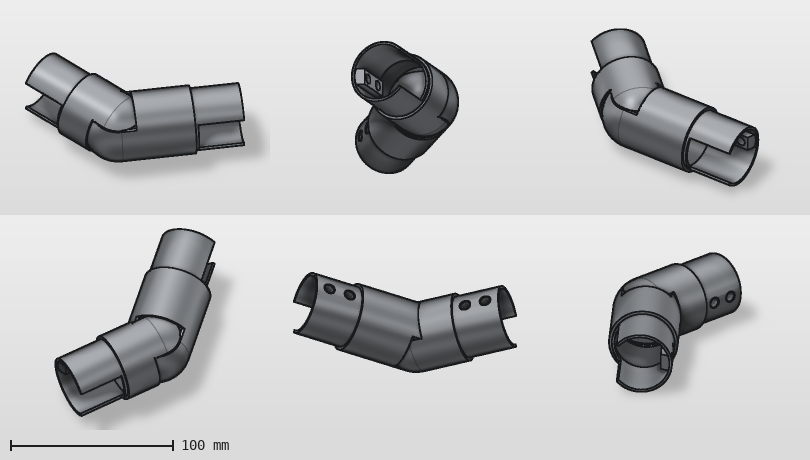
import cadquery as cq
import math


collar_radius = 21.2
collar_bore_radius = 19.9
spigot_radius = 19.3
spigot_bore_radius = 17.7
oversize = 3 * collar_radius

bend_angle = 45.0
near_shoulder = 30.1
far_shoulder = 46.1
near_tip = 60.0
far_tip = 76.5
step_length = 2.0

near_collar_start = 8.7
far_collar_start = 9.7
band_half_height = 14.5
tongue_floor = 15.1

slot_half_angle = 40.0
slot_to_shoulder = 1.9

block_width = 10.0
block_flat = 12.2
block_end_gap = 1.0
block_slope_run = 2.5
hole_diameter = 6.0
wall_hole_diameter = 7.0
wall_hole_start = 18.7
hole_end_distance = 8.5
near_hole_spacing = 13.1
far_hole_spacing = 13.7


def rod(radius, start, end):
    """Cylinder along the X axis between two stations."""
    return cq.Workplane("YZ").workplane(offset=start).circle(radius).extrude(end - start)


def bullet(radius, end):
    """Rod along +X whose near end is a half ball about the joint centre."""
    rounding = radius * math.sqrt(0.5)
    profile = (
        cq.Workplane("XY")
        .moveTo(-radius, 0)
        .threePointArc((-rounding, rounding), (0, radius))
        .lineTo(end, radius)
        .lineTo(end, 0)
        .close()
    )
    return profile.revolve(360, (0, 0, 0), (1, 0, 0))


def joint_slab(half_height, end):
    """Slab centred on the joint plane, covering everything short of a station."""
    corner = cq.Workplane("XY").box(oversize, oversize, 2 * half_height)
    return corner.translate((end - oversize / 2, 0, 0))


def near_collar():
    """Collar ending in two solid domed tongues, above and below the ball."""
    collar = bullet(collar_radius, near_shoulder)
    collar = collar.cut(rod(collar_bore_radius, near_collar_start, near_shoulder - step_length))
    return collar.cut(joint_slab(tongue_floor, near_collar_start))


def far_collar():
    """Collar ending in a hollow round-ended band, the ball of the joint."""
    collar = bullet(collar_radius, far_shoulder)
    collar = collar.cut(bullet(collar_bore_radius, far_shoulder - step_length))
    outside_band = joint_slab(oversize, far_collar_start).cut(joint_slab(band_half_height, far_collar_start))
    return collar.cut(outside_band)


def slot_cutter(start, end):
    """Wedge with radial sides that opens the -Y side of a spigot."""
    half_width = oversize * math.tan(math.radians(slot_half_angle))
    wedge = [(0, 0), (-oversize, -half_width), (-oversize, half_width)]
    return cq.Workplane("YZ").workplane(offset=start).polyline(wedge).close().extrude(end - start)


def screw_block(start, tip):
    """Block on the +Y wall, sloped at its outer end."""
    wall_middle = (spigot_bore_radius + spigot_radius) / 2
    outer_end = tip - block_end_gap
    outline = [
        (start, block_flat),
        (outer_end - block_slope_run, block_flat),
        (outer_end, spigot_bore_radius),
        (outer_end, spigot_radius),
        (start, spigot_radius),
    ]
    block = cq.Workplane("XY").polyline(outline).close().extrude(block_width / 2, both=True)
    return block.intersect(rod(wall_middle, start, tip))


def wall_holes(diameter, depth_start, tip, spacing):
    """Two screw holes running outward along +Y from a given distance off the axis."""
    first = tip - hole_end_distance
    holes = cq.Workplane("XZ", origin=(0, depth_start, 0)).pushPoints([(first, 0), (first - spacing, 0)])
    return holes.circle(diameter / 2).extrude(-collar_radius)


def connector(collar, shoulder, tip, hole_spacing):
    """Collar with its slotted spigot, screw block and screw holes."""
    slot_start = shoulder + slot_to_shoulder
    tube = collar.union(rod(spigot_radius, shoulder, tip))
    tube = tube.cut(rod(spigot_bore_radius, shoulder - step_length, tip))
    tube = tube.cut(slot_cutter(slot_start, tip))
    tube = tube.union(screw_block(slot_start, tip))
    tube = tube.cut(wall_holes(hole_diameter, 0, tip, hole_spacing))
    return tube.cut(wall_holes(wall_hole_diameter, wall_hole_start, tip, hole_spacing))


near_half = connector(near_collar(), near_shoulder, near_tip, near_hole_spacing).mirror("YZ")
far_half = connector(far_collar(), far_shoulder, far_tip, far_hole_spacing)
far_half = far_half.rotate((0, 0, 0), (0, 0, 1), bend_angle)
result = near_half.union(far_half)